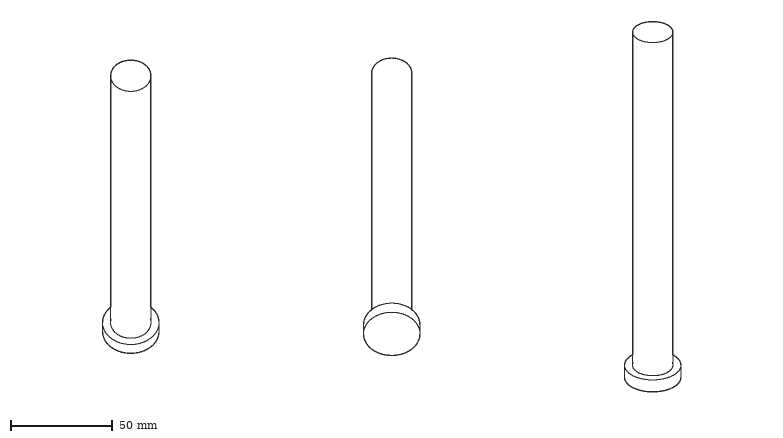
import cadquery as cq

total_length = 200.0
head_diameter = 28.0
head_thickness = 7.0
shaft_diameter = 20.0

head = cq.Workplane("XY").circle(head_diameter / 2).extrude(head_thickness)
shaft = cq.Workplane("XY").circle(shaft_diameter / 2).extrude(total_length)

result = head.union(shaft)